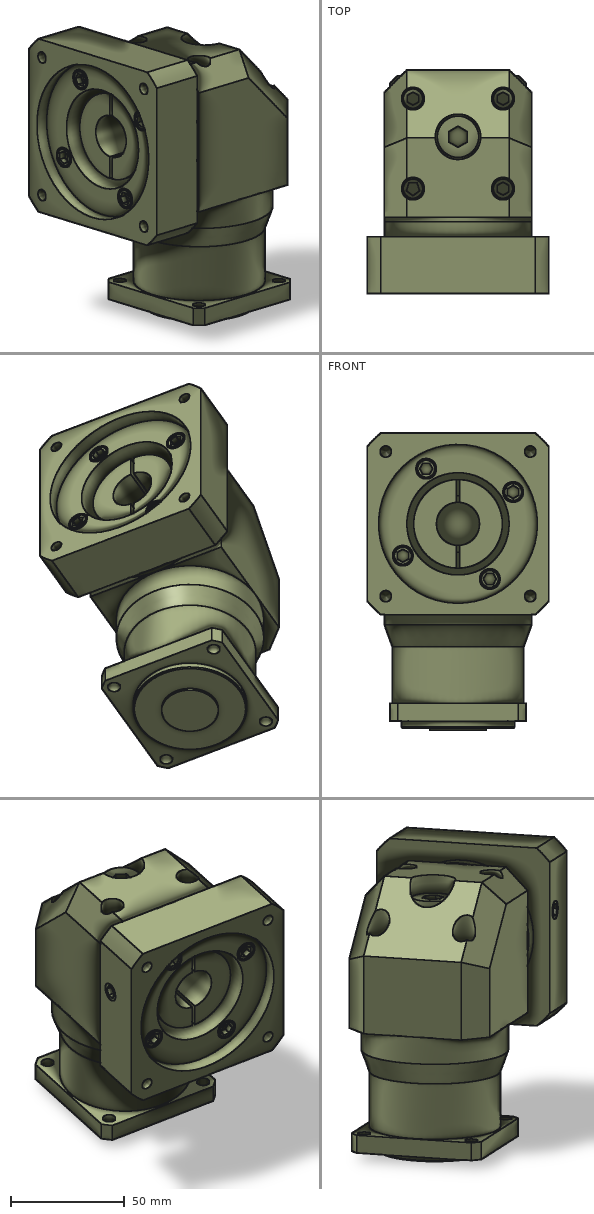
import cadquery as cq
import math


FLANGE_SIDE = 80.0
FLANGE_CORNER_DIAMETER = 105.0
FLANGE_THICKNESS = 25.0
NECK_LENGTH = 6.5
RECESS_DIAMETER = 70.0
RECESS_DEPTH = 6.0
BORE_DIAMETER = 45.0
MOUNT_HOLE_DIAMETER = 5.0
MOUNT_HOLE_SPACING = 63.7
MOUNT_HOLE_DEPTH = 13.1
DRILL_POINT_ANGLE = 118.0
ADAPTER_SCREW_ANGLE = 30.0
ADAPTER_COUNTERBORE_DIAMETER = 9.0
ADAPTER_HEAD_CHAMFER = 0.5
PLUG_DIAMETER = 8.1
PLUG_SINK = 0.1
PLUG_FROM_FLANGE_BACK = 8.0
PLUG_ABOVE_AXIS = 11.0

SCREW_CIRCLE = 56.1
HEAD_DIAMETER = 8.5
HEAD_HEIGHT = 5.2
SOCKET_DIAMETER = 5.8
SOCKET_DEPTH = 3.3

OVERALL_HEIGHT = 131.0
BODY_SIDE = 65.0
BODY_BEVEL = 30.0
BODY_EDGE_CHAMFER = 10.0
COLLAR_LENGTH = 2.0
SLEEVE_DIAMETER = 58.0
CONE_TOP = 46.5
CONE_BOTTOM = 37.0
OUTPUT_FLANGE_SIDE = 60.0
OUTPUT_FLANGE_CORNER_DIAMETER = 80.0
OUTPUT_FLANGE_TOP = 12.0
OUTPUT_FLANGE_BOTTOM = 4.0
OUTPUT_HOLE_DIAMETER = 5.5
OUTPUT_HOLE_SPACING = 49.5
PILOT_DIAMETER = 50.0
PILOT_CHAMFER = 0.5
BOSS_DIAMETER = 25.0
BOSS_LENGTH = 1.0
COUNTERBORE_DIAMETER = 10.0
PENTAGON_SOCKET_DIAMETER = 6.2
CAP_HOLE_DIAMETER = 20.0
CAP_DIAMETER = 18.2
CAP_DROP = 8.0
CAP_HEIGHT = 6.0
CAP_OFFSET = 3.0
CAP_SOCKET_DIAMETER = 9.3
CAP_SOCKET_DEPTH = 3.9

HUB_DIAMETER = 39.0
HUB_SETBACK = 11.3
HUB_BORE_DIAMETER = 19.0
HUB_BORE_DEPTH = 19.6
SLOT_WIDTH = 1.5
SLOT_DEPTH = 11.8
INNER_SLOT_LENGTH = 24.9
INNER_SLOT_DEPTH = 15.7

INPUT_AXIS_Z = OVERALL_HEIGHT - FLANGE_SIDE / 2
BODY_HALF = BODY_SIDE / 2
BODY_TOP = INPUT_AXIS_Z + BODY_HALF
BODY_BOTTOM = INPUT_AXIS_Z - BODY_HALF
COLLAR_FRONT = -BODY_HALF - COLLAR_LENGTH
FLANGE_BACK = COLLAR_FRONT - NECK_LENGTH
FLANGE_FRONT = FLANGE_BACK - FLANGE_THICKNESS
RECESS_FLOOR = FLANGE_FRONT + RECESS_DEPTH
HUB_FACE = FLANGE_FRONT + HUB_SETBACK
HEAD_TOP = BODY_TOP - BODY_BEVEL
SCREW_SEAT = HEAD_TOP - HEAD_HEIGHT


def plane_toward_front(y):
    """Plane across the input axis; local x is X, local y is Z, the normal is -Y."""
    return cq.Workplane("XZ", origin=(0, y, INPUT_AXIS_Z))


def plane_up(z):
    return cq.Workplane("XY", origin=(0, 0, z))


def turned_square(plane, side, corner_diameter, thickness):
    """Square plate whose corners are rounded to one large circle."""
    square = plane.rect(side, side).extrude(thickness)
    return square.intersect(plane.circle(corner_diameter / 2).extrude(thickness))


def polygon_points(sides, diameter, first_angle):
    """Corners of a regular polygon on a circle, the first at first_angle degrees."""
    angles = [math.radians(first_angle + 360 * i / sides) for i in range(sides)]
    return [(diameter / 2 * math.cos(a), diameter / 2 * math.sin(a)) for a in angles]


def socket(plane, center, diameter, first_angle, depth, sides=6):
    """Drive socket below the given plane, or above it for a negative depth."""
    outline = polygon_points(sides, diameter, first_angle)
    return plane.center(*center).polyline(outline).close().extrude(-depth)


def gear_body():
    profile = [
        (-BODY_HALF, BODY_BOTTOM),
        (BODY_HALF, BODY_BOTTOM),
        (BODY_HALF, BODY_TOP - BODY_BEVEL),
        (BODY_HALF - BODY_BEVEL, BODY_TOP),
        (-BODY_HALF, BODY_TOP),
    ]
    block = cq.Workplane("YZ").polyline(profile).close().extrude(BODY_HALF, both=True)
    block = block.faces("<X or >X").edges("not(<Y or <Z)").chamfer(BODY_EDGE_CHAMFER)
    collar = plane_toward_front(-BODY_HALF).circle(BODY_HALF).extrude(COLLAR_LENGTH)
    return block.union(collar)


def output_column():
    profile = [
        (0, 0),
        (BOSS_DIAMETER / 2, 0),
        (BOSS_DIAMETER / 2, BOSS_LENGTH),
        (PILOT_DIAMETER / 2 - PILOT_CHAMFER, BOSS_LENGTH),
        (PILOT_DIAMETER / 2, BOSS_LENGTH + PILOT_CHAMFER),
        (PILOT_DIAMETER / 2, OUTPUT_FLANGE_TOP),
        (SLEEVE_DIAMETER / 2, OUTPUT_FLANGE_TOP),
        (SLEEVE_DIAMETER / 2, CONE_BOTTOM),
        (BODY_HALF, CONE_TOP),
        (BODY_HALF, BODY_BOTTOM),
        (0, BODY_BOTTOM),
    ]
    return cq.Workplane("XZ").polyline(profile).close().revolve(360, (0, 0), (0, 1))


def output_flange():
    flange = turned_square(
        plane_up(OUTPUT_FLANGE_BOTTOM),
        OUTPUT_FLANGE_SIDE,
        OUTPUT_FLANGE_CORNER_DIAMETER,
        OUTPUT_FLANGE_TOP - OUTPUT_FLANGE_BOTTOM,
    )
    holes = (
        plane_up(OUTPUT_FLANGE_BOTTOM)
        .rect(OUTPUT_HOLE_SPACING, OUTPUT_HOLE_SPACING, forConstruction=True)
        .vertices()
        .circle(OUTPUT_HOLE_DIAMETER / 2)
        .extrude(OUTPUT_FLANGE_TOP - OUTPUT_FLANGE_BOTTOM)
    )
    return flange.cut(holes)


def add_housing_screws(housing):
    """Four sunk screw heads clamping the body to the column; one has a five-sided socket."""
    top = plane_up(HEAD_TOP)
    reach = SCREW_CIRCLE / 2 * math.cos(math.radians(45))
    for x in (-reach, reach):
        for y in (-reach, reach):
            seat = plane_up(SCREW_SEAT).center(x, y)
            counterbore = seat.circle(COUNTERBORE_DIAMETER / 2).extrude(BODY_TOP - SCREW_SEAT)
            head = seat.circle(HEAD_DIAMETER / 2).extrude(HEAD_HEIGHT)
            housing = housing.cut(counterbore).union(head)
            if x < 0 and y < 0:
                drive = socket(top, (x, y), PENTAGON_SOCKET_DIAMETER, -90, SOCKET_DEPTH, sides=5)
            else:
                drive = socket(top, (x, y), SOCKET_DIAMETER, 90, SOCKET_DEPTH)
            housing = housing.cut(drive)
    return housing


def add_cap(housing):
    """Round screw cap standing in a wider hole across the bevel's upper edge."""
    face_z = BODY_TOP - CAP_DROP
    floor = plane_up(face_z - CAP_HEIGHT).center(0, CAP_OFFSET)
    hole = floor.circle(CAP_HOLE_DIAMETER / 2).extrude(CAP_DROP + CAP_HEIGHT)
    cap = floor.circle(CAP_DIAMETER / 2).extrude(CAP_HEIGHT)
    drive = socket(plane_up(face_z), (0, CAP_OFFSET), CAP_SOCKET_DIAMETER, 90, CAP_SOCKET_DEPTH)
    return housing.cut(hole).union(cap).cut(drive)


def make_housing():
    housing = gear_body().union(output_column()).union(output_flange())
    return add_cap(add_housing_screws(housing))


def adapter_blank():
    neck = plane_toward_front(COLLAR_FRONT).circle(BODY_HALF).extrude(NECK_LENGTH)
    flange = turned_square(
        plane_toward_front(FLANGE_BACK), FLANGE_SIDE, FLANGE_CORNER_DIAMETER, FLANGE_THICKNESS
    )
    recess = plane_toward_front(FLANGE_FRONT).circle(RECESS_DIAMETER / 2).extrude(-RECESS_DEPTH)
    bore = plane_toward_front(COLLAR_FRONT).circle(BORE_DIAMETER / 2).extrude(NECK_LENGTH + FLANGE_THICKNESS)
    return neck.union(flange).cut(recess).cut(bore)


def mount_holes():
    """Blind drilled holes in the flange corners."""
    radius = MOUNT_HOLE_DIAMETER / 2
    point_length = radius / math.tan(math.radians(DRILL_POINT_ANGLE / 2))
    profile = [
        (0, 0),
        (radius, 0),
        (radius, MOUNT_HOLE_DEPTH),
        (0, MOUNT_HOLE_DEPTH + point_length),
    ]
    drill = cq.Workplane("XY").polyline(profile).close().revolve(360, (0, 0), (0, 1)).val()
    half = MOUNT_HOLE_SPACING / 2
    holes = cq.Workplane("XY")
    for x in (-half, half):
        for z in (-half, half):
            holes = holes.add(drill.translate((x, FLANGE_FRONT, INPUT_AXIS_Z + z)))
    return holes


def add_adapter_screws(adapter):
    """Flush chamfered screw heads around the bore, each turned with its place on the circle."""
    floor = plane_toward_front(RECESS_FLOOR)
    for i in range(4):
        angle = ADAPTER_SCREW_ANGLE + 90 * i
        x = SCREW_CIRCLE / 2 * math.cos(math.radians(angle))
        z = SCREW_CIRCLE / 2 * math.sin(math.radians(angle))
        seat = plane_toward_front(RECESS_FLOOR + HEAD_HEIGHT).center(x, z)
        counterbore = seat.circle(ADAPTER_COUNTERBORE_DIAMETER / 2).extrude(HEAD_HEIGHT)
        head = seat.circle(HEAD_DIAMETER / 2).extrude(HEAD_HEIGHT)
        head = head.faces("<Y").chamfer(ADAPTER_HEAD_CHAMFER)
        adapter = adapter.cut(counterbore).union(head)
        adapter = adapter.cut(socket(floor, (x, z), SOCKET_DIAMETER, angle, SOCKET_DEPTH))
    return adapter


def add_side_plug(adapter):
    """Slightly sunk plug with a hexagon socket in the -X side of the flange."""
    center = (FLANGE_BACK - PLUG_FROM_FLANGE_BACK, INPUT_AXIS_Z + PLUG_ABOVE_AXIS)
    side = cq.Workplane("YZ", origin=(-FLANGE_SIDE / 2, 0, 0))
    sink = side.center(*center).circle(PLUG_DIAMETER / 2).extrude(PLUG_SINK)
    return adapter.cut(sink).cut(socket(side, center, SOCKET_DIAMETER, 0, -SOCKET_DEPTH))


def make_adapter():
    return add_side_plug(add_adapter_screws(adapter_blank().cut(mount_holes())))


def make_hub():
    """Split clamping hub standing on the housing collar inside the adapter bore."""
    face = plane_toward_front(HUB_FACE)
    hub = face.circle(HUB_DIAMETER / 2).extrude(HUB_FACE - COLLAR_FRONT)
    bore = face.circle(HUB_BORE_DIAMETER / 2).extrude(-HUB_BORE_DEPTH)
    slot = face.rect(SLOT_WIDTH, HUB_DIAMETER).extrude(-SLOT_DEPTH)
    inner_slot = face.rect(SLOT_WIDTH, INNER_SLOT_LENGTH).extrude(-INNER_SLOT_DEPTH)
    return hub.cut(bore).cut(slot).cut(inner_slot)


housing = make_housing()
adapter = make_adapter()
hub = make_hub()

result = cq.Compound.makeCompound([housing.val(), adapter.val(), hub.val()])